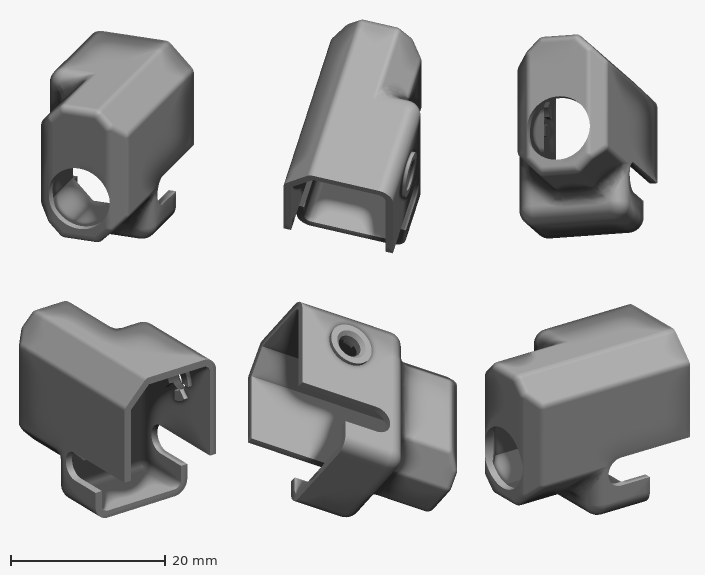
import cadquery as cq
import math

wall = 1.0
total_length = 25.5
top = 12.6
bore_diameter = 8.5

nose_half_width = 6.1
nose_corner_cut = 3.5
nose_front_bevel = 2.0
nose_edge_radius = 1.0

body_left = -8.6
body_bottom = -9.6
body_length = 15.4
body_edge_radius = 2.0
neck_radius = 2.0

slot_top = -1.5
slot_width = 4.0
slot_length = 13.0
lip_setback = 6.4

boss_y = -7.0
boss_z = 7.0
boss_diameter = 6.0
boss_height = 0.5
screw_diameter = 3.2
countersink_diameter = 4.2
countersink_depth = 0.5

tooth_count = 4
tooth_height = 0.6
crown_diameter = boss_diameter

nose_right = nose_half_width
nose_bottom = -nose_half_width
slot_bottom = slot_top - slot_width
cut_shrink = 2 - math.sqrt(2)
tooth_angle = 180 / tooth_count
overshoot = 1.0
selection_margin = 0.1


def box(x_limits, y_limits, z_limits):
    """Axis-aligned box between the given limits."""
    size = [high - low for low, high in (x_limits, y_limits, z_limits)]
    corner = (x_limits[0], y_limits[0], z_limits[0])
    return cq.Workplane("XY").box(*size, centered=False).translate(corner)


def nose_form(inset):
    """Sharp-edged nose, its walls moved inward by the inset."""
    half_width = nose_half_width - inset
    prism = box(
        (-half_width, half_width),
        (inset - total_length, 0),
        (nose_bottom + inset, top - inset),
    )
    prism = prism.edges("|Y").chamfer(nose_corner_cut - cut_shrink * inset)
    return prism.edges("|Z and <Y").chamfer(nose_front_bevel - cut_shrink * inset)


def body_form(inset, cut_edge_radius=0):
    """Rear body, its walls moved inward by the inset and its corner cut optionally softened."""
    radius = body_edge_radius - inset
    block = box(
        (body_left + inset, nose_right - inset),
        (inset - body_length, 0),
        (body_bottom + inset, top - inset),
    )
    block = block.edges("|Y and >X and >Z").chamfer(nose_corner_cut - cut_shrink * inset)
    if cut_edge_radius > 0:
        block = block.faces(">(1, 0, 1)").edges("|Y").fillet(cut_edge_radius)
    block = block.edges("(|Y and <X) or (|Y and <Z)").fillet(radius)
    return block.faces("<Y").edges("<X or <Z").fillet(radius)


def outside():
    """Nose and body joined, with a hollow blend around the neck."""
    nose = nose_form(0).edges("not(>Y)").fillet(nose_edge_radius)
    joined = nose.union(body_form(0, nose_edge_radius))
    flat_right = nose_right - body_edge_radius
    flat_top = top - body_edge_radius
    neck_region = cq.selectors.BoxSelector(
        (-nose_half_width - selection_margin, -body_length - selection_margin, nose_bottom - selection_margin),
        (flat_right - selection_margin, -body_length + selection_margin, flat_top - selection_margin),
    )
    return joined.edges(neck_region).fillet(neck_radius)


def x_cylinder(diameter, x_start, length):
    """Cylinder along +X on the boss axis."""
    plane = cq.Workplane("YZ", origin=(x_start, boss_y, boss_z))
    return plane.circle(diameter / 2).extrude(length)


def add_boss(part):
    boss = x_cylinder(boss_diameter, body_left - boss_height, boss_height + wall / 2)
    return part.union(boss)


def cut_cavity(part):
    return part.cut(nose_form(wall)).cut(body_form(wall))


def add_crown(part):
    """Teeth standing inward from the wall, each a sector of the crown ring."""
    root_x = body_left + wall / 2
    depth = wall / 2 + tooth_height
    ring = x_cylinder(crown_diameter, root_x, depth)
    reach = crown_diameter
    angle = math.radians(tooth_angle)
    far_corner = (reach * math.cos(angle), reach * math.sin(angle))
    plane = cq.Workplane("YZ", origin=(root_x, boss_y, boss_z))
    sector = plane.polyline([(0, 0), (reach, 0), far_corner]).close().extrude(depth)
    axis_start = (root_x, boss_y, boss_z)
    axis_end = (body_left + wall, boss_y, boss_z)
    for index in range(tooth_count):
        turned = sector.rotate(axis_start, axis_end, index * 360 / tooth_count)
        part = part.union(ring.intersect(turned))
    return part


def cut_bore(part):
    bore = cq.Workplane("XZ").circle(bore_diameter / 2).extrude(total_length + overshoot)
    return part.cut(bore)


def cut_screw_hole(part):
    face_x = body_left - boss_height
    hole = x_cylinder(screw_diameter, face_x, boss_height + wall + tooth_height + overshoot)
    rim = cq.Workplane("YZ", origin=(face_x, boss_y, boss_z)).circle(countersink_diameter / 2)
    countersink = rim.workplane(offset=countersink_depth).circle(screw_diameter / 2).loft()
    return part.cut(hole).cut(countersink)


def cut_slot(part):
    """Round-ended slot, opened at the back by setting the lower lip forward."""
    across = (body_left - overshoot, nose_right + overshoot)
    radius = slot_width / 2
    slot = box(across, (radius - slot_length, overshoot), (slot_bottom, slot_top))
    end_plane = cq.Workplane("YZ", origin=(across[0], radius - slot_length, slot_top - radius))
    round_end = end_plane.circle(radius).extrude(across[1] - across[0])
    step = box(across, (-lip_setback, overshoot), (body_bottom - overshoot, slot_top))
    return part.cut(slot).cut(round_end).cut(step)


result = outside()
result = add_boss(result)
result = cut_cavity(result)
result = add_crown(result)
result = cut_bore(result)
result = cut_screw_hole(result)
result = cut_slot(result)